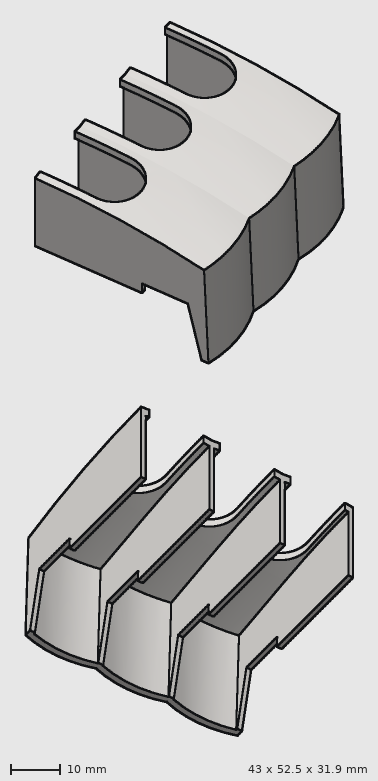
import cadquery as cq

total_width = 52.5
bay_count = 3
bay_width = total_width / bay_count
total_length = 43.0

roof_radius = 161.2
roof_valley_height = 31.65
roof_scallop = 0.6
roof_thickness = 2.05
roof_axis_z = roof_valley_height - roof_radius
roof_sweep_angle = 20.0
underside_curve_angle = 8.2
roof_section_depth = 63.0

front_scallop = 1.4
front_valley_x = total_length - front_scallop
front_lean = 2.0
front_lean_height = 50.5
front_thickness = 1.7
prism_height = 36.75

web_thickness = 1.2
web_bottom = 11.9
notch_start_x = 25.65
notch_top = 14.65
leg_top_x = 36.6
leg_bottom_x = 39.9

slot_radius = 6.7
slot_end_x = 20.05
slot_cut_bottom = 26.25


def roof_section(offset):
    """Scalloped cross-section at X = 0, with its top lowered by offset."""
    valley = roof_valley_height - offset
    floor = valley - roof_section_depth
    section = cq.Workplane("YZ").moveTo(0, floor).lineTo(0, valley)
    for bay in range(bay_count):
        section = section.threePointArc(
            ((bay + 0.5) * bay_width, valley + roof_scallop),
            ((bay + 1) * bay_width, valley),
        )
    return section.lineTo(total_width, floor).close()


def revolved_roof(offset, angle):
    """Volume below the curved roof surface, lowered radially by offset."""
    return roof_section(offset).revolve(angle, (0, roof_axis_z, 0), (1, roof_axis_z, 0))


def roof_underside():
    """Curved volume at the open end, continued tangentially towards the front wall."""
    curved = revolved_roof(roof_thickness, underside_curve_angle)
    straight = (
        roof_section(roof_thickness)
        .extrude(total_length)
        .rotate((0, 0, roof_axis_z), (0, 1, roof_axis_z), underside_curve_angle)
    )
    return curved.union(straight)


def scalloped_prism(offset):
    """Leaning prism bounded by the front surface, moved back by offset."""
    valley = front_valley_x - offset
    outline = cq.Workplane("XY").lineTo(valley, 0)
    for bay in range(bay_count):
        outline = outline.threePointArc(
            (valley + front_scallop, (bay + 0.5) * bay_width),
            (valley, (bay + 1) * bay_width),
        )
    base = outline.lineTo(0, total_width).close().val()
    lean = front_lean * prism_height / front_lean_height
    prism = cq.Solid.extrudeLinear(base, [], cq.Vector(-lean, 0, prism_height))
    return cq.Workplane(obj=prism)


def bay_spaces():
    """Clear space between neighbouring dividing walls."""
    spaces = cq.Workplane("XY")
    for bay in range(bay_count):
        start = bay * bay_width + web_thickness / 2
        end = (bay + 1) * bay_width - web_thickness / 2
        if bay == 0:
            start = web_thickness
        if bay == bay_count - 1:
            end = total_width - web_thickness
        spaces = spaces.add(
            cq.Workplane("XY").box(total_length, end - start, prism_height, centered=False)
            .translate((0, start, 0))
        )
    return spaces.combine()


def web_relief():
    """Stepped clearance below the dividing walls, ending at the sloping leg."""
    return (
        cq.Workplane("XZ")
        .polyline([
            (0, 0),
            (0, web_bottom),
            (notch_start_x, web_bottom),
            (notch_start_x, notch_top),
            (leg_top_x, notch_top),
            (leg_bottom_x, 0),
        ])
        .close()
        .extrude(-total_width)
    )


def roof_slot(bay):
    center_y = (bay + 0.5) * bay_width
    straight_end = slot_end_x - slot_radius
    return (
        cq.Workplane("XY", origin=(0, center_y, slot_cut_bottom))
        .moveTo(0, -slot_radius)
        .lineTo(straight_end, -slot_radius)
        .threePointArc((slot_end_x, 0), (straight_end, slot_radius))
        .lineTo(0, slot_radius)
        .close()
        .extrude(prism_height - slot_cut_bottom)
    )


outer_body = revolved_roof(0, roof_sweep_angle).intersect(scalloped_prism(0))
cavities = roof_underside().intersect(scalloped_prism(front_thickness)).intersect(bay_spaces())
result = outer_body.cut(cavities).cut(web_relief())
for bay in range(bay_count):
    result = result.cut(roof_slot(bay))